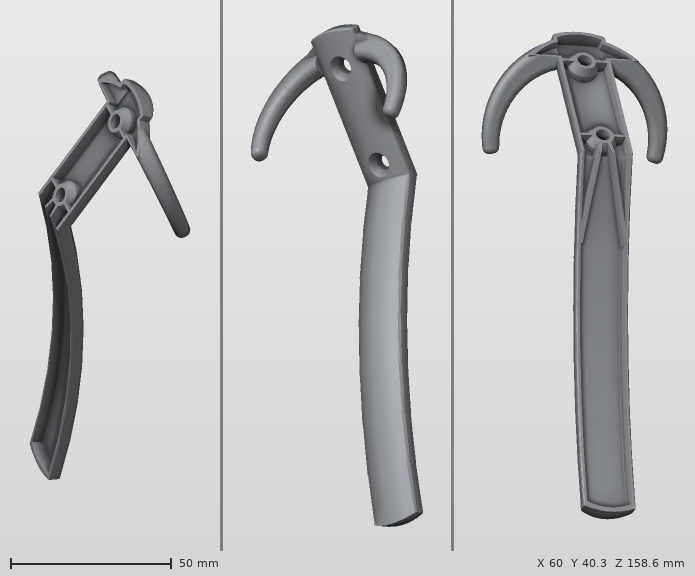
import math

import cadquery as cq

WIDTH = 17.0
THICKNESS = 5.75
CROWN = 1.9
BACK_EDGE_FILLET = 1.0
RIM_EDGE_FILLET = 0.4
WALL = 1.15
HANDLE_END_WALL = 1.5
WALL_DRAFT = 0.5
FLOOR_FILLET = 0.7
UPPER_FLOOR_DEPTH = 4.9
UPPER_FLOOR_CROWN = 1.1
LOWER_FLOOR_DEPTH = 3.6
END_SAG = 1.7
HEAD_END_FILLET = 0.6

HANDLE_RADIUS = 260.0
APEX_Y = -12.05
APEX_Z = -13.5
BEND_Z = 36.3
HANDLE_END_Z = -77.9
HEAD_TILT = 34.5
HEAD_LENGTH = 52.15

BOSS_STATIONS = (7.45, 39.7)
HOLE_DIAMETER = 4.6
COUNTERSINK_DEPTH = 2.7
COUNTERSINK_DIAMETER = 8.0
BOSS_TOP_DIAMETER = 7.1
BOSS_BASE_DIAMETER = 9.8
BOSS_CONE_DEPTH = 2.4
CROSS_RIB = 1.0
DIAGONAL_RIB_FOOT = 2.3
DIAGONAL_RIB_BACK_Y = -8.0
DIAGONAL_RIB_HEIGHT = 12.0
DIAGONAL_RIB_DRAFT = 5.0
DIAGONAL_RIB_TOP_X = 1.0
DIAGONAL_RIB_FOOT_X = 7.6
DIAGONAL_RIB_FOOT_Z = 7.5

HOOK_TILT = 16.4
HOOK_CENTER_Y = 15.95
HOOK_CENTER_Z = 47.8
HOOK_RADIUS = 29.99
HOOK_TIP_ANGLE = -16.5
HOOK_ROOT_ANGLE = 80.0
HOOK_TIP_BREADTH = 4.9
HOOK_ROOT_BREADTH = 9.4
HOOK_TIP_THICKNESS = 5.0
HOOK_ROOT_THICKNESS = 6.6
HOOK_CORNER_FILLET = 2.2
HOOK_TIP_FILLET = 1.9
HOOK_SECTIONS = 6

RECESS_DEPTH = 3.0
RECESS_RIM = 0.9
RECESS_LIP = 0.5
RECESS_INNER_X = 6.0
HOOK_FLUSH_START = 40.8

FAR = 200.0
OVERRUN = 10.0
OVERRUN_ANGLE = 3.0


def frame(origin_y, origin_z, tilt):
    """Plane square to the blade: local x is X, local y is depth, normal points up the blade."""
    angle = math.radians(tilt)
    return cq.Plane((0, origin_y, origin_z), (1, 0, 0), (0, math.sin(angle), math.cos(angle)))


def handle_tilt(z):
    """Tilt in degrees of the handle's front rim at height z."""
    return math.degrees(math.asin((APEX_Z - z) / HANDLE_RADIUS))


def handle_frame(tilt):
    """Frame on the handle's front rim where it has this tilt."""
    angle = math.radians(tilt)
    y = APEX_Y - HANDLE_RADIUS * (1 - math.cos(angle))
    z = APEX_Z - HANDLE_RADIUS * math.sin(angle)
    return frame(y, z, tilt)


BEND_TILT = handle_tilt(BEND_Z)
HANDLE_END_TILT = handle_tilt(HANDLE_END_Z)
BEND_Y = handle_frame(BEND_TILT).origin.y
BEND_FRAME = frame(BEND_Y, BEND_Z, HEAD_TILT)
MITRE_FRAME = frame(BEND_Y, BEND_Z, (HEAD_TILT + BEND_TILT) / 2)


def channel_section(half_width, depth, crown, bottom_fillet, rim_fillet=0, draft=0):
    """Section with a straight rim at depth 0, sides leaning in by a draft and a crowned or flat bottom."""
    side = depth - crown
    foot = half_width - draft
    sketch = cq.Sketch().segment((-foot, side), (-half_width, 0))
    sketch = sketch.segment((half_width, 0)).segment((foot, side))
    if crown:
        sketch = sketch.arc((foot, side), (0, depth), (-foot, side))
    else:
        sketch = sketch.close()
    sketch = sketch.assemble().vertices(">Y").fillet(bottom_fillet)
    if rim_fillet:
        sketch = sketch.reset().vertices("<Y").fillet(rim_fillet)
    return sketch.reset()


def plan_prism(end_frame, direction, half_width, inset):
    """Prism square to the rim at a blade's end: straight sides and an arched end, set in by a margin."""
    tip = -direction * inset
    shoulder = tip - direction * END_SAG
    plan = cq.Plane(end_frame.origin, (1, 0, 0), -end_frame.yDir)
    return (
        cq.Workplane(plan)
        .moveTo(-half_width, shoulder)
        .threePointArc((0, tip), (half_width, shoulder))
        .lineTo(half_width, -direction * FAR)
        .lineTo(-half_width, -direction * FAR)
        .close()
        .extrude(FAR / 2, both=True)
    )


def half_space(plane, side):
    """Everything on one side (+1 or -1) of a plane."""
    return cq.Workplane(plane).workplane(offset=side * FAR / 2).box(FAR, FAR, FAR)


def blade(head_section, handle_section, half_width, head_inset, handle_inset):
    """Head and handle stretches with these sections, mitred together at the bend."""
    head_tip = BEND_FRAME.toWorldCoords((0, 0, HEAD_LENGTH))
    head_end = frame(head_tip.y, head_tip.z, HEAD_TILT)
    head = (
        cq.Workplane(BEND_FRAME)
        .workplane(offset=-OVERRUN)
        .placeSketch(head_section)
        .extrude(HEAD_LENGTH + 2 * OVERRUN)
    )
    head = head.intersect(plan_prism(head_end, 1, half_width, head_inset))
    head = head.intersect(half_space(MITRE_FRAME, 1))

    handle = (
        cq.Workplane(handle_frame(HANDLE_END_TILT + OVERRUN_ANGLE))
        .placeSketch(handle_section)
        .revolve(
            HANDLE_END_TILT - BEND_TILT + 2 * OVERRUN_ANGLE,
            (0, -HANDLE_RADIUS),
            (1, -HANDLE_RADIUS),
        )
    )
    handle_end = handle_frame(HANDLE_END_TILT)
    handle = handle.intersect(plan_prism(handle_end, -1, half_width, handle_inset))
    handle = handle.intersect(half_space(MITRE_FRAME, -1))
    return head.union(handle)


def outer_blade():
    """Solid blade with its back edges rounded."""
    half = WIDTH / 2
    head = channel_section(half, THICKNESS, CROWN, BACK_EDGE_FILLET)
    handle = channel_section(half, THICKNESS, CROWN, BACK_EDGE_FILLET, RIM_EDGE_FILLET)
    outer = blade(head, handle, half, 0, 0)
    back_corner = cq.selectors.DirectionMinMaxSelector(cq.Vector(0, 1, 1), True)
    return outer.edges(back_corner).fillet(HEAD_END_FILLET)


def rim_plane(station):
    """Plane on the head's rim at this distance from the bend, with its normal pointing to the back."""
    origin = BEND_FRAME.toWorldCoords((0, 0, station))
    return cq.Plane(origin, (1, 0, 0), BEND_FRAME.yDir)


def boss(station):
    """Boss with a conical top on a round base, tied to both side walls by a rib."""
    cone = (
        cq.Workplane(rim_plane(station))
        .circle(BOSS_TOP_DIAMETER / 2)
        .workplane(offset=BOSS_CONE_DEPTH)
        .circle(BOSS_BASE_DIAMETER / 2)
        .loft()
    )
    base = cone.faces(">Y").workplane().circle(BOSS_BASE_DIAMETER / 2).extrude(THICKNESS)
    rib = cq.Workplane(rim_plane(station)).rect(WIDTH, CROSS_RIB).extrude(THICKNESS)
    return base.union(rib)


def screw_hole(station):
    """Through hole, countersunk from the back."""
    plane = rim_plane(station)
    hole = cq.Workplane(plane).circle(HOLE_DIAMETER / 2).extrude(THICKNESS)
    countersink = (
        cq.Workplane(plane)
        .workplane(offset=THICKNESS - COUNTERSINK_DEPTH)
        .circle(HOLE_DIAMETER / 2)
        .workplane(offset=COUNTERSINK_DEPTH)
        .circle(COUNTERSINK_DIAMETER / 2)
        .loft()
    )
    return hole.union(countersink)


def diagonal_rib(side):
    """Drafted rib that runs from the lower boss down to one side wall of the handle."""
    top_z = BEND_FRAME.toWorldCoords((0, 0, BOSS_STATIONS[0])).z
    run = DIAGONAL_RIB_FOOT_X - DIAGONAL_RIB_TOP_X
    drop = top_z - DIAGONAL_RIB_FOOT_Z
    length = math.hypot(run, drop)
    return (
        cq.Workplane("XZ", origin=(0, DIAGONAL_RIB_BACK_Y, 0))
        .center(side * (DIAGONAL_RIB_TOP_X + run / 2), top_z - drop / 2)
        .transformed(rotate=(0, 0, side * math.degrees(math.atan2(run, drop))))
        .rect(DIAGONAL_RIB_FOOT, length)
        .extrude(DIAGONAL_RIB_HEIGHT, taper=DIAGONAL_RIB_DRAFT)
    )


def pocket():
    """Hollow of the channel, less the bosses and ribs that stand in it."""
    half = WIDTH / 2 - WALL
    head = channel_section(half, UPPER_FLOOR_DEPTH, UPPER_FLOOR_CROWN, FLOOR_FILLET, draft=WALL_DRAFT)
    handle = channel_section(half, LOWER_FLOOR_DEPTH, 0, FLOOR_FILLET, draft=WALL_DRAFT)
    hollow = blade(head, handle, half, WALL, HANDLE_END_WALL)
    for station in BOSS_STATIONS:
        hollow = hollow.cut(boss(station))
    for side in (-1, 1):
        hollow = hollow.cut(diagonal_rib(side))
    return hollow


def hook_frame():
    """Plane of the hooks: local x is X, local y runs up the hook plane."""
    angle = math.radians(HOOK_TILT)
    return cq.Plane(
        (0, HOOK_CENTER_Y, HOOK_CENTER_Z),
        (1, 0, 0),
        (0, -math.cos(angle), -math.sin(angle)),
    )


def hook_section(share):
    """Rounded section of the +X hook, from its tip (share 0) to its root (share 1)."""
    angle = math.radians(HOOK_TIP_ANGLE + share * (HOOK_ROOT_ANGLE - HOOK_TIP_ANGLE))
    breadth = HOOK_TIP_BREADTH + share * (HOOK_ROOT_BREADTH - HOOK_TIP_BREADTH)
    thickness = HOOK_TIP_THICKNESS + share * (HOOK_ROOT_THICKNESS - HOOK_TIP_THICKNESS)
    plane = hook_frame()
    radius = HOOK_RADIUS - breadth / 2
    origin = plane.toWorldCoords((radius * math.cos(angle), radius * math.sin(angle), 0))
    tangent = plane.toWorldCoords((-math.sin(angle), math.cos(angle), 0)) - plane.origin
    radial = plane.toWorldCoords((math.cos(angle), math.sin(angle), 0)) - plane.origin
    outline = cq.Sketch().rect(breadth, thickness).vertices()
    outline = outline.fillet(HOOK_CORNER_FILLET)
    return outline.reset().wires().val().moved(cq.Location(cq.Plane(origin, radial, tangent)))


def hook_root_prism(inner_x, rim, lip, depth):
    """Prism square to the head's rim, outlined by the +X hook's flush front less a rim and a lip."""
    tilt = math.radians(HEAD_TILT)
    hook_tilt = math.radians(HOOK_TILT)
    rise = HOOK_CENTER_Z - BEND_Z
    reach = HOOK_CENTER_Y - BEND_Y
    center = (rise * math.cos(hook_tilt) - reach * math.sin(hook_tilt)) / math.cos(tilt + hook_tilt)
    radius = HOOK_RADIUS - rim
    plan = rim_plane(0)
    ellipse = (
        cq.Workplane(plan)
        .center(0, -center)
        .ellipse(radius, radius / math.cos(tilt + hook_tilt))
        .extrude(depth)
    )
    length = FAR / 2
    bound = (
        cq.Workplane(plan)
        .center(inner_x + length / 2, -(HOOK_FLUSH_START + lip + length / 2))
        .rect(length, length)
        .extrude(depth)
    )
    return ellipse.intersect(bound)


def hook():
    """The +X hook, trimmed flush with the head's rim and filled out to a sharp edge at its root."""
    wires = [hook_section(i / (HOOK_SECTIONS - 1)) for i in range(HOOK_SECTIONS)]
    arm = cq.Workplane(cq.Solid.makeLoft(wires))
    arm = arm.faces("<Z").edges().fillet(HOOK_TIP_FILLET)
    front = cq.Workplane(rim_plane(0)).workplane(offset=-FAR / 2).box(FAR, FAR, FAR)
    inside = cq.Workplane().box(WIDTH - WALL, FAR, FAR)
    web = hook_root_prism(WIDTH / 2 - WALL, 0, 0, RECESS_DEPTH + RECESS_RIM)
    return arm.cut(front).cut(inside).union(web)


def make_part():
    """Blade with two hooks, hollowed from the front and drilled at both bosses."""
    body = outer_blade()
    arm = hook()
    recess = hook_root_prism(RECESS_INNER_X, RECESS_RIM, RECESS_LIP, RECESS_DEPTH)
    body = body.union(arm).union(arm.mirror("YZ"))
    body = body.cut(recess).cut(recess.mirror("YZ"))
    body = body.cut(pocket())
    for station in BOSS_STATIONS:
        body = body.cut(screw_hole(station))
    return body


result = make_part()